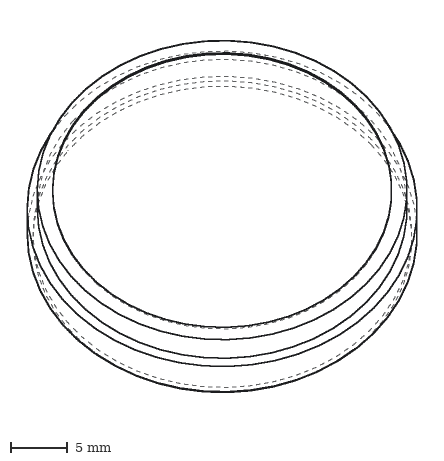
import cadquery as cq

foot_diameter = 33.5
foot_height = 0.8
flange_diameter = 34.5
flange_height = 3.8
rim_diameter = 32.7
rim_height = 2.8

recess_diameter = 30.0
recess_depth = 0.2

flange_base = foot_height
rim_base = flange_base + flange_height
total_height = rim_base + rim_height


def disc(diameter, height, base):
    """Disc centred on the Z axis with its lower face at the given base height."""
    return cq.Workplane("XY").workplane(offset=base).circle(diameter / 2).extrude(height)


foot = disc(foot_diameter, foot_height, 0)
flange = disc(flange_diameter, flange_height, flange_base)
rim = disc(rim_diameter, rim_height, rim_base)
recess = disc(recess_diameter, recess_depth, total_height - recess_depth)

result = foot.union(flange).union(rim).cut(recess)